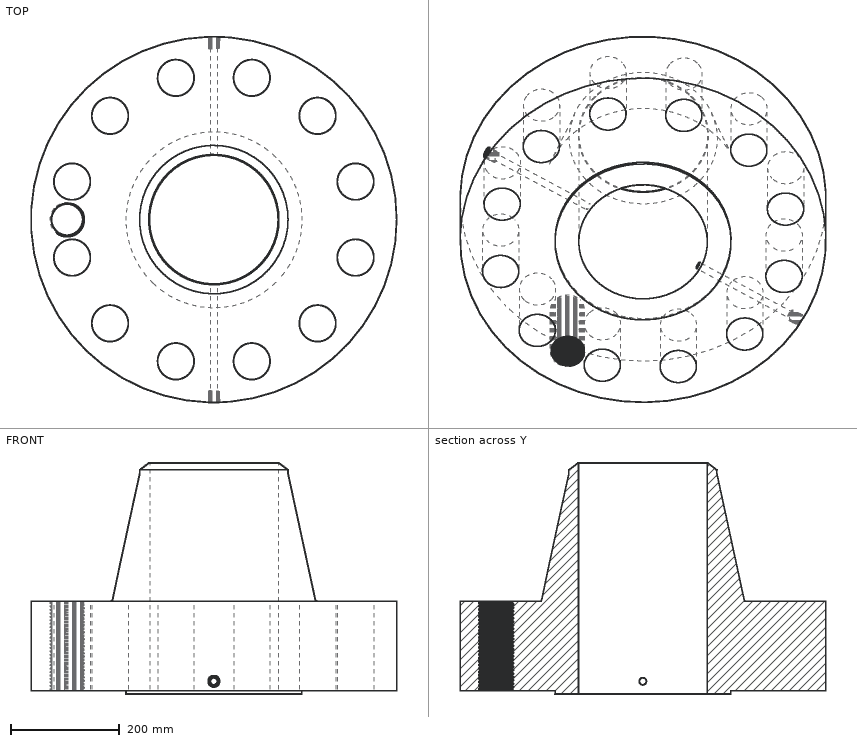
import cadquery as cq
import math

FLANGE_DIA = 673.1
FLANGE_THICKNESS = 165.1
RAISED_FACE_DIA = 323.85
RAISED_FACE_HEIGHT = 6.35
TOTAL_HEIGHT = 425.45
FLANGE_TOP = RAISED_FACE_HEIGHT + FLANGE_THICKNESS

HUB_BASE_DIA = 374.65
HUB_FILLET = 3.0
PIPE_DIA = 273.05
PIPE_WALL = 18.26
BORE_DIA = PIPE_DIA - 2 * PIPE_WALL
ROOT_FACE = 1.6
BEVEL_ANGLE = 37.5
NECK_LAND = 6.0

BOLT_CIRCLE_DIA = 539.75
BOLT_COUNT = 12
BOLT_HOLE_DIA = 66.7

JACK_MAJOR_DIA = 63.5
JACK_PITCH = 6.35
JACK_THREAD_DEPTH = 3.2
JACK_START_ANGLE = 0.0

TAP_HEIGHT = 23.8
TAP_MOUTH_DIA = 21.34
TAP_PITCH = 25.4 / 14
TAP_THREAD_DEPTH = 1.4
TAP_THREADED_LENGTH = 20.0
TAP_TAPER_ANGLE = math.degrees(math.atan(1 / 32))
TAP_BORE_DIA = 12.7

THREAD_SEAM_OFFSET = 135.0
THREAD_BASE_WIDTH = 0.875
THREAD_ROOT_WIDTH = 0.125
THREAD_OVERLAP = 0.05


def flange_body():
    """Flange, raised face and tapered weld neck as one revolved profile, without the bore."""
    pipe_radius = PIPE_DIA / 2
    root_radius = BORE_DIA / 2 + ROOT_FACE
    bevel_height = (pipe_radius - root_radius) * math.tan(math.radians(BEVEL_ANGLE))
    bevel_start = TOTAL_HEIGHT - bevel_height
    profile = [
        (0, 0),
        (RAISED_FACE_DIA / 2, 0),
        (RAISED_FACE_DIA / 2, RAISED_FACE_HEIGHT),
        (FLANGE_DIA / 2, RAISED_FACE_HEIGHT),
        (FLANGE_DIA / 2, FLANGE_TOP),
        (HUB_BASE_DIA / 2, FLANGE_TOP),
        (pipe_radius, bevel_start - NECK_LAND),
        (pipe_radius, bevel_start),
        (root_radius, TOTAL_HEIGHT),
        (0, TOTAL_HEIGHT),
    ]
    body = cq.Workplane("XZ").polyline(profile).close().revolve(360, (0, 0, 0), (0, 1, 0))
    second_largest = cq.selectors.RadiusNthSelector(-2)
    return body.edges("%CIRCLE").edges(second_largest).fillet(HUB_FILLET)


def bolt_holes():
    """Through holes on the bolt circle, straddling the X and Y axes."""
    return (
        cq.Workplane("XY")
        .polarArray(BOLT_CIRCLE_DIA / 2, 180 / BOLT_COUNT, 360, BOLT_COUNT)
        .circle(BOLT_HOLE_DIA / 2)
        .extrude(FLANGE_TOP)
    )


def thread_groove(base_minor_radius, thread_depth, pitch, length, taper_angle=0.0):
    """Helical groove running up from one pitch below Z = 0 to Z = length, widening with the taper.

    The start is turned away from the seam of the hole so that the two never coincide.
    """
    slope = math.tan(math.radians(taper_angle))
    start_radius = base_minor_radius - slope * pitch
    overlap = THREAD_OVERLAP * pitch
    flank = (THREAD_BASE_WIDTH - THREAD_ROOT_WIDTH) / 2 * pitch / thread_depth
    inner_half = THREAD_BASE_WIDTH / 2 * pitch + flank * overlap
    outer_half = THREAD_ROOT_WIDTH / 2 * pitch
    inner = start_radius - overlap
    outer = start_radius + thread_depth
    if taper_angle:
        helix = cq.Wire.makeHelix(pitch, length + pitch, start_radius, angle=taper_angle)
    else:
        helix = cq.Wire.makeHelix(pitch, length + pitch, start_radius)
    section = (
        cq.Workplane("XZ")
        .polyline([(inner, -inner_half), (outer, -outer_half), (outer, outer_half), (inner, inner_half)])
        .close()
    )
    groove = section.sweep(cq.Workplane(helix), isFrenet=True).translate((0, 0, -pitch))
    return groove.rotate((0, 0, 0), (0, 0, 1), THREAD_SEAM_OFFSET)


def cut_jackscrew_hole(body):
    """Threaded hole through the flange, on the bolt circle at -X."""
    minor_radius = JACK_MAJOR_DIA / 2 - JACK_THREAD_DEPTH
    thread_length = FLANGE_THICKNESS + JACK_PITCH
    drill = cq.Workplane("XY").circle(minor_radius).extrude(FLANGE_THICKNESS)
    groove = thread_groove(minor_radius, JACK_THREAD_DEPTH, JACK_PITCH, thread_length)
    turn = JACK_START_ANGLE - THREAD_SEAM_OFFSET
    for cutter in (drill, groove):
        placed = cutter.rotate((0, 0, 0), (0, 0, 1), turn)
        body = body.cut(placed.translate((-BOLT_CIRCLE_DIA / 2, 0, RAISED_FACE_HEIGHT)), clean=False)
    return body


def cut_pressure_tap(body, side):
    """Radial tap from the rim to the bore: side -1 enters from -Y, side +1 from +Y."""
    minor_radius = TAP_MOUTH_DIA / 2 - TAP_THREAD_DEPTH
    end_radius = minor_radius - TAP_THREADED_LENGTH * math.tan(math.radians(TAP_TAPER_ANGLE))
    taper = (
        cq.Workplane("XY")
        .circle(end_radius)
        .workplane(offset=TAP_THREADED_LENGTH)
        .circle(minor_radius)
        .loft()
    )
    drill = cq.Workplane("XY").workplane(offset=-FLANGE_DIA / 2).circle(TAP_BORE_DIA / 2)
    drill = drill.extrude(FLANGE_DIA / 2).translate((0, 0, TAP_THREADED_LENGTH))
    groove = thread_groove(
        end_radius,
        TAP_THREAD_DEPTH,
        TAP_PITCH,
        TAP_THREADED_LENGTH + TAP_PITCH,
        TAP_TAPER_ANGLE,
    )
    entry = side * (FLANGE_DIA / 2 - TAP_THREADED_LENGTH)
    for cutter in (drill, taper, groove):
        placed = cutter.rotate((0, 0, 0), (1, 0, 0), -side * 90)
        body = body.cut(placed.translate((0, entry, TAP_HEIGHT)), clean=False)
    return body


result = flange_body()
bore = cq.Workplane("XY").circle(BORE_DIA / 2).extrude(TOTAL_HEIGHT)
result = result.cut(bore).cut(bolt_holes())
for tap_side in (-1, 1):
    result = cut_pressure_tap(result, tap_side)
result = cut_jackscrew_hole(result).solids()